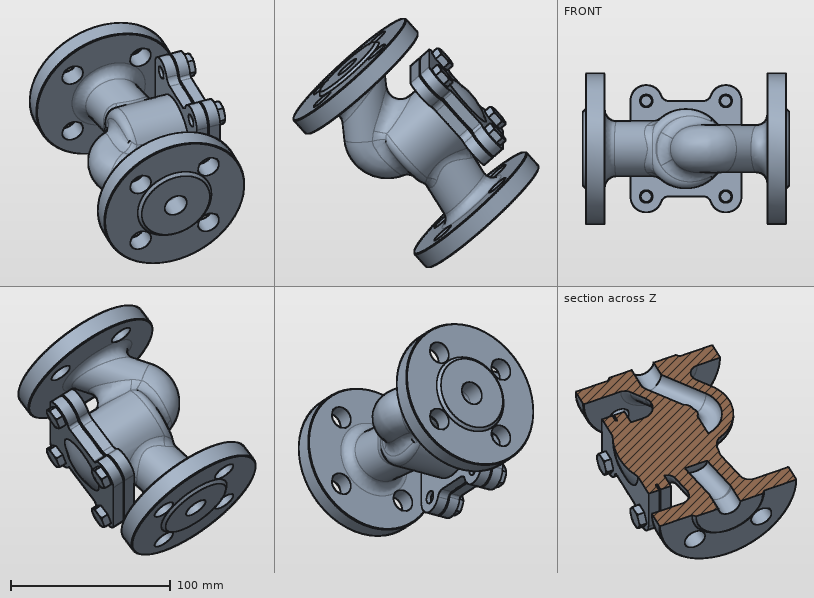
import cadquery as cq
import math

OVERALL_LENGTH = 130.0
FLANGE_DIAMETER = 95.0
FLANGE_THICKNESS = 12.1
FLANGE_EDGE_CHAMFER = 0.5
RAISED_FACE_HEIGHT = 2.0
RAISED_FACE_DIAMETER = 50.0
FLANGE_HOLE_DIAMETER = 14.0
FLANGE_HOLE_CIRCLE_DIAMETER = 65.0
FLANGE_HOLE_COUNT = 4
NECK_START_X = OVERALL_LENGTH / 2 - RAISED_FACE_HEIGHT - FLANGE_THICKNESS

CHAMBER_RADIUS = 25.0
CHAMBER_FLOOR_Y = -13.6
CHAMBER_FLOOR_FILLET = 5.8

NECK_RADIUS = 17.4
NECK_TILT = 10.0

PIPE_RADIUS = 15.0
PIPE_BEND_RADIUS = 12.4
PIPE_BEND_X = 15.6
PIPE_BEND_Y = -10.1
PIPE_RISER = 5.2

NECK_FLANGE_FILLET = 7.0
PIPE_FLANGE_FILLET = 6.5
NECK_CHAMBER_FILLET = 6.5
PIPE_CHAMBER_FILLET = 9.1

LEAD_IN = 13.0

SELECTION_MARGIN = 0.1

BORE_DIAMETER = 15.0
BORE_RADIUS = BORE_DIAMETER / 2

BOLT_X = 25.0
BOLT_Z = 30.0
LUG_RADIUS = 10.0
BONNET_FLANGE_Y = 26.4
BONNET_FLANGE_THICKNESS = 7.4
HOUSING_NOTCH_FILLET = 5.1
COVER_NOTCH_FILLET = 2.0
JOINT_RING_DIAMETER = 60.0
JOINT_GAP = 0.9
JOINT_Y = BONNET_FLANGE_Y + BONNET_FLANGE_THICKNESS
COVER_Y = JOINT_Y + JOINT_GAP
COVER_TOP_Y = COVER_Y + BONNET_FLANGE_THICKNESS
DOME_HEIGHT = 4.2
DOME_BASE_RADIUS = 19.0

BOLT_DIAMETER = 8.0
BOLT_END_CHAMFER = 0.6
BOLT_END_RECESS = 2.6
BOLT_HEAD_ACROSS_FLATS = 13.0
BOLT_HEAD_ACROSS_CORNERS = BOLT_HEAD_ACROSS_FLATS / math.cos(math.pi / 6)
BOLT_HEAD_HEIGHT = 5.0
BOLT_HEAD_CHAMFER = 0.6
BOLT_END_Y = BONNET_FLANGE_Y + BOLT_END_RECESS


def cylinder(start, direction, radius, length):
    return cq.Workplane(cq.Solid.makeCylinder(radius, length, cq.Vector(*start), cq.Vector(*direction)))


def end_flange(side):
    """Flange on the +X (side = 1) or -X (side = -1) end."""
    outward = (side, 0, 0)
    disc = cylinder((side * NECK_START_X, 0, 0), outward, FLANGE_DIAMETER / 2, FLANGE_THICKNESS)
    disc = disc.edges().chamfer(FLANGE_EDGE_CHAMFER)
    raised_face = cq.Workplane(cq.Solid.makeCone(
        RAISED_FACE_DIAMETER / 2,
        RAISED_FACE_DIAMETER / 2 - RAISED_FACE_HEIGHT,
        RAISED_FACE_HEIGHT,
        cq.Vector(side * (NECK_START_X + FLANGE_THICKNESS), 0, 0),
        cq.Vector(*outward),
    ))
    return disc.union(raised_face)


def flange_holes(side):
    """Bolt holes of one end flange, straddling the Y and Z axes."""
    holes = []
    for index in range(FLANGE_HOLE_COUNT):
        angle = 2 * math.pi * (index + 0.5) / FLANGE_HOLE_COUNT
        y = FLANGE_HOLE_CIRCLE_DIAMETER / 2 * math.cos(angle)
        z = FLANGE_HOLE_CIRCLE_DIAMETER / 2 * math.sin(angle)
        hole = cylinder((side * NECK_START_X, y, z), (side, 0, 0), FLANGE_HOLE_DIAMETER / 2, FLANGE_THICKNESS)
        holes.append(hole)
    return holes


def chamber():
    body = cylinder((0, CHAMBER_FLOOR_Y, 0), (0, 1, 0), CHAMBER_RADIUS, BONNET_FLANGE_Y - CHAMBER_FLOOR_Y)
    return body.edges("<Y").fillet(CHAMBER_FLOOR_FILLET)


def neck(radius, lead_in):
    """Round bar along the tilted neck axis, from lead_in before the flange's inner face into the chamber."""
    tilt = math.radians(NECK_TILT)
    start = (-NECK_START_X - lead_in * math.cos(tilt), -lead_in * math.sin(tilt), 0)
    direction = (math.cos(tilt), math.sin(tilt), 0)
    return cylinder(start, direction, radius, NECK_START_X)


def bent_pipe(radius, lead_in):
    """Round bar along the bent pipe axis, starting lead_in before the flange's inner face."""
    run_x = NECK_START_X - PIPE_BEND_X
    run_y = -PIPE_BEND_Y
    tilt = math.atan2(run_y, run_x) + math.asin(PIPE_BEND_RADIUS / math.hypot(run_x, run_y))

    start = (NECK_START_X + lead_in * math.cos(tilt), lead_in * math.sin(tilt))
    bend_start = (
        PIPE_BEND_X + PIPE_BEND_RADIUS * math.sin(tilt),
        PIPE_BEND_Y - PIPE_BEND_RADIUS * math.cos(tilt),
    )
    bend_bottom = (PIPE_BEND_X, PIPE_BEND_Y - PIPE_BEND_RADIUS)
    bend_end = (PIPE_BEND_X - PIPE_BEND_RADIUS, PIPE_BEND_Y)
    axis = (
        cq.Workplane("XY")
        .moveTo(*start)
        .lineTo(*bend_start)
        .threePointArc(bend_bottom, bend_end)
        .lineTo(bend_end[0], bend_end[1] + PIPE_RISER)
    )
    section = cq.Plane(
        origin=(*start, 0),
        xDir=(0, 0, 1),
        normal=(-math.cos(tilt), -math.sin(tilt), 0),
    )
    return cq.Workplane(section).circle(radius).sweep(axis)


def flanged(bar, side, joint_fillet):
    """Bar trimmed at mid-thickness of its end flange and joined to it with a filleted joint."""
    reach = RAISED_FACE_DIAMETER / 2
    joint = cq.selectors.BoxSelector(
        (side * NECK_START_X - SELECTION_MARGIN, -reach, -reach),
        (side * NECK_START_X + SELECTION_MARGIN, reach, reach),
        boundingbox=True,
    )
    trim_x = side * (NECK_START_X + FLANGE_THICKNESS / 2)
    trim = cylinder((trim_x, 0, 0), (side, 0, 0), FLANGE_DIAMETER / 2, OVERALL_LENGTH)
    return bar.cut(trim).union(end_flange(side)).edges(joint).fillet(joint_fillet)


def chamber_joint(min_x, max_x):
    """Selector for the edges centred between min_x and max_x, within the chamber's width."""
    return cq.selectors.BoxSelector(
        (min_x, CHAMBER_FLOOR_Y - SELECTION_MARGIN, -CHAMBER_RADIUS),
        (max_x, BONNET_FLANGE_Y, CHAMBER_RADIUS),
    )


def valve_shell():
    """Chamber with its flanged neck and flanged pipe, blended at the joints, solid inside."""
    pipe_joint = chamber_joint(-CHAMBER_RADIUS, CHAMBER_RADIUS)
    neck_joint = chamber_joint(-CHAMBER_RADIUS, -CHAMBER_RADIUS * math.cos(math.pi / 4))
    shell = chamber().union(flanged(bent_pipe(PIPE_RADIUS, LEAD_IN), 1, PIPE_FLANGE_FILLET))
    shell = shell.edges("%BSPLINE").edges(pipe_joint).fillet(PIPE_CHAMBER_FILLET)
    shell = shell.union(flanged(neck(NECK_RADIUS, LEAD_IN), -1, NECK_FLANGE_FILLET))
    return shell.edges("%BSPLINE").edges(neck_joint).fillet(NECK_CHAMBER_FILLET)


def flow_bores():
    """Straight bores through the flanges, each turning at a round elbow into its neck or pipe."""
    bores = neck(BORE_RADIUS, 0).union(bent_pipe(BORE_RADIUS, 0))
    for side in (-1, 1):
        elbow_x = side * NECK_START_X
        elbow = cq.Workplane("XY").sphere(BORE_RADIUS).translate((elbow_x, 0, 0))
        entry = cylinder((elbow_x, 0, 0), (side, 0, 0), BORE_RADIUS, OVERALL_LENGTH / 2 - NECK_START_X)
        bores = bores.union(elbow).union(entry)
    return bores.cut(chamber())


def bolt_positions():
    return [(side_x * BOLT_X, side_z * BOLT_Z) for side_x in (-1, 1) for side_z in (-1, 1)]


def bonnet_plate(base_y, notch_fillet):
    """Plate with a round lug at each bolt and a filleted corner beside each lug."""
    plate = cq.Workplane("XY").box(
        2 * (BOLT_X + LUG_RADIUS),
        BONNET_FLANGE_THICKNESS,
        2 * BOLT_Z,
    ).translate((0, base_y + BONNET_FLANGE_THICKNESS / 2, 0))
    for x, z in bolt_positions():
        plate = plate.union(cylinder((x, base_y, z), (0, 1, 0), LUG_RADIUS, BONNET_FLANGE_THICKNESS))
    notch_corners = cq.selectors.BoxSelector(
        (-BOLT_X, base_y, -BOLT_Z - LUG_RADIUS),
        (BOLT_X, base_y + BONNET_FLANGE_THICKNESS, BOLT_Z + LUG_RADIUS),
    )
    return plate.edges("|Y").edges(notch_corners).fillet(notch_fillet)


def cover_dome():
    sphere_radius = (DOME_BASE_RADIUS**2 + DOME_HEIGHT**2) / (2 * DOME_HEIGHT)
    return (
        cq.Workplane("XY")
        .moveTo(0, COVER_TOP_Y)
        .lineTo(DOME_BASE_RADIUS, COVER_TOP_Y)
        .radiusArc((0, COVER_TOP_Y + DOME_HEIGHT), -sphere_radius)
        .close()
        .revolve(360, (0, 0, 0), (0, 1, 0))
    )


def make_casing():
    """Valve shell and cover, joined through the ring between their flanges."""
    joint_ring = cylinder((0, JOINT_Y, 0), (0, 1, 0), JOINT_RING_DIAMETER / 2, JOINT_GAP)
    casing = valve_shell().union(bonnet_plate(BONNET_FLANGE_Y, HOUSING_NOTCH_FILLET))
    casing = casing.union(joint_ring)
    casing = casing.union(bonnet_plate(COVER_Y, COVER_NOTCH_FILLET)).union(cover_dome())
    for side in (-1, 1):
        for hole in flange_holes(side):
            casing = casing.cut(hole)
    for x, z in bolt_positions():
        bolt_hole = cylinder(
            (x, BONNET_FLANGE_Y, z), (0, 1, 0), BOLT_DIAMETER / 2, COVER_TOP_Y - BONNET_FLANGE_Y
        )
        casing = casing.cut(bolt_hole)
    return casing.cut(flow_bores())


def make_bolt(x, z):
    """Hexagon bolt along Y, its head seated on the cover and corners pointing along X."""
    shank = cylinder((x, BOLT_END_Y, z), (0, 1, 0), BOLT_DIAMETER / 2, COVER_TOP_Y - BOLT_END_Y)
    shank = shank.edges("<Y").chamfer(BOLT_END_CHAMFER)
    hexagon = (
        cq.Workplane("XZ", origin=(x, COVER_TOP_Y, z))
        .polygon(6, BOLT_HEAD_ACROSS_CORNERS)
        .extrude(-BOLT_HEAD_HEIGHT)
    )
    rounding = cylinder((x, COVER_TOP_Y, z), (0, 1, 0), BOLT_HEAD_ACROSS_CORNERS / 2, BOLT_HEAD_HEIGHT)
    rounding = rounding.edges(">Y").chamfer(BOLT_HEAD_CHAMFER)
    return shank.union(hexagon.intersect(rounding))


casing = make_casing()
bolts = [make_bolt(x, z) for x, z in bolt_positions()]

result = cq.Compound.makeCompound([casing.val(), *[bolt.val() for bolt in bolts]])